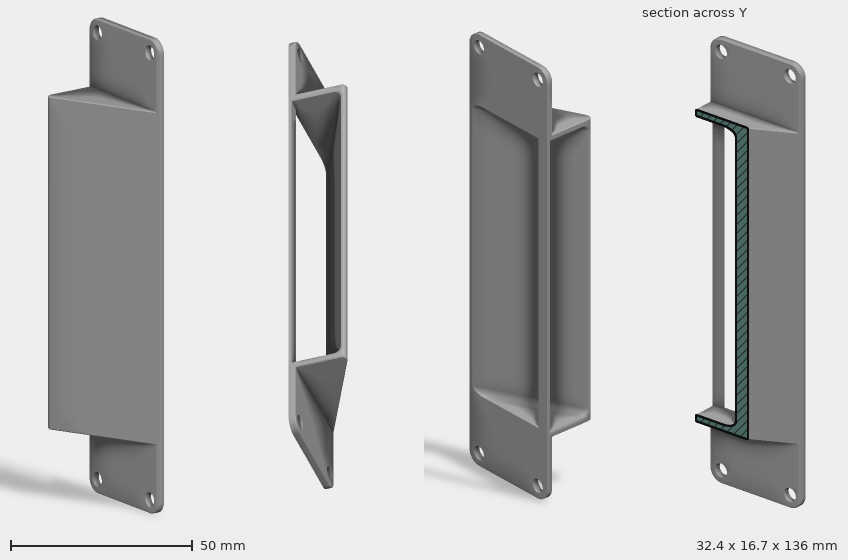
import cadquery as cq
import math

width = 32.4
height = 136.0
plate_thickness = 2.0
corner_radius = 4.0
hole_diameter = 4.2
hole_inset = 4.0
edge_chamfer = 0.3

depth = 16.7
grip_height = 95.5
nose_radius = 1.5
rim_depth = 1.6

wall = 2.0
cavity_fillet = 2.0
mouth_chamfer = 0.3
back_strip_width = 3.5
back_strip_thickness = 1.0
cut_margin = 6.8

nose_to_rim_x = width - nose_radius
nose_to_rim_y = depth - nose_radius - rim_depth
nose_to_rim = math.hypot(nose_to_rim_x, nose_to_rim_y)
slope_angle = math.atan2(nose_to_rim_y, nose_to_rim_x) + math.asin(nose_radius / nose_to_rim)
slope = math.tan(slope_angle)
inner_offset = wall / math.cos(slope_angle)


def slope_depth(x):
    """Depth of the outer sloping face in front of the plate back."""
    return rim_depth + (width - x) * slope


def prism(points, length):
    """Extrude an XY outline along Z, centred on Z = 0."""
    return cq.Workplane("XY").workplane(offset=-length / 2).polyline(points).close().extrude(length)


def wedge(length):
    """Sharp-nosed wedge between the plate back and the outer sloping face."""
    outline = [(0, 0), (width, 0), (width, -rim_depth), (0, -slope_depth(0))]
    return prism(outline, length)


def make_plate():
    plate = (
        cq.Workplane("XZ")
        .center(width / 2, 0)
        .rect(width, height)
        .extrude(plate_thickness)
        .edges("|Y")
        .fillet(corner_radius)
    )
    slope_wedge = wedge(height)
    plate = plate.faces("<Y").chamfer(edge_chamfer).intersect(slope_wedge)
    return (
        plate.faces(">Y")
        .workplane(origin=(width / 2, 0, 0))
        .rect(width - 2 * hole_inset, height - 2 * hole_inset, forConstruction=True)
        .vertices()
        .hole(hole_diameter)
    )


def make_grip():
    grip = wedge(grip_height)
    nose = cq.selectors.NearestToPointSelector((0, -slope_depth(0), 0))
    grip = grip.edges(nose).fillet(nose_radius)
    end_edges = grip.faces("|Z").edges("not(>Y or >X)")
    return end_edges.chamfer(edge_chamfer)


def make_cavity():
    cavity_height = grip_height - 2 * wall
    inner_end = width + (rim_depth - inner_offset) / slope
    start_x = -cut_margin
    end_x = inner_end + cut_margin / slope
    outline = [
        (start_x, cut_margin),
        (end_x, cut_margin),
        (start_x, inner_offset - slope_depth(start_x)),
    ]
    cavity = prism(outline, cavity_height)
    cavity = cavity.faces("<Y").edges("#Z").fillet(cavity_fillet)
    strip = cq.Workplane("XY").box(
        back_strip_width + cut_margin,
        back_strip_thickness + cut_margin,
        grip_height,
        centered=(False, False, True),
    )
    return cavity.cut(strip.translate((-cut_margin, -back_strip_thickness, 0)))


def break_mouth(body):
    """Chamfer the two end-wall edges of the mouth on the left face."""
    half = grip_height / 2 - wall
    for z in (-half, half):
        edge = cq.selectors.NearestToPointSelector((0, -depth / 2, z))
        body = body.edges(edge).chamfer(mouth_chamfer)
    return body


result = make_plate().union(make_grip()).cut(make_cavity())
result = break_mouth(result)